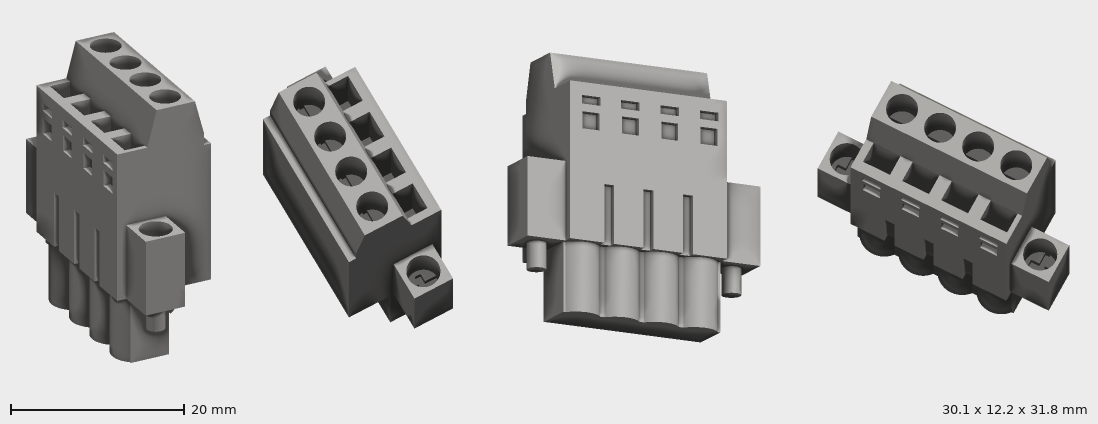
import cadquery as cq


poles = 4
pitch = 5.1
body_width = 20.32

top_z = 31.8
front_shoulder_z = 27.25
back_slope_z = 27.55
back_shoulder_z = 25.92
base_z = 8.4

body_depth = 12.2
back_step_y = 11.25
crest_front_y = 5.12
crest_back_y = 10.1
front_slope_y = 3.9

plug_front_y = 1.75
plug_back_y = 6.75
socket_width = 4.5
socket_bulge = 1.08

latch_width = 3 * pitch
latch_front_y = 8.3
latch_back_y = 10.15
latch_heel = (9.45, 4.85)
latch_tip = (8.27, 3.75)
latch_nose = (7.95, 4.55)
latch_throat_z = 5.35

total_width = 30.1
flange_width = (total_width - body_width) / 2
flange_x = (total_width - flange_width) / 2
flange_front_y = 1.18
flange_depth = 5.12
flange_back_y = flange_front_y + flange_depth
flange_y = flange_front_y + flange_depth / 2
flange_top_z = 17.9
counterbore_diameter = 3.95
counterbore_depth = 6.35
flange_head_diameter = 3.88
flange_head_height = 1.9
shank_diameter = 2.3
shank_tip_z = 5.2
cross_long_width = 0.67
cross_short_width = 0.8
cross_short_length = 2.8
cross_depth = 0.8

clamp_diameter = 3.7
clamp_pitch = 4.95
clamp_y = (crest_front_y + crest_back_y) / 2
clamp_hole_depth = 9.55
clamp_screw_height = 3.82
clamp_slot_width = 0.65
clamp_slot_depth = 0.8

entry_shift = 0.2
entry_width = 3.5
entry_front_y = 1.27
entry_depth = 7.95
window_depth = 0.9
upper_window_width = 2.4
upper_window_bottom_z = 24.68
upper_window_height = 1.02
lower_window_width = 2.2
lower_window_bottom_z = 21.72
lower_window_height = 2.05

slit_width = 1.27
slit_depth = 0.85
slit_top_z = 15.4


def row(count, spacing):
    """Centres of a row of equally spaced features about X = 0."""
    return [(i - (count - 1) / 2) * spacing for i in range(count)]


def box(x, width, y_front, y_back, z_bottom, z_top):
    """Block centred on x in X and given by its limits in Y and Z."""
    size = (width, y_back - y_front, z_top - z_bottom)
    return cq.Workplane("XY").box(*size, centered=(True, False, False)).translate((x, y_front, z_bottom))


def cylinder(x, y, diameter, z_bottom, z_top):
    """Upright cylinder between two levels."""
    disc = cq.Workplane("XY", origin=(x, y, z_bottom)).circle(diameter / 2)
    return disc.extrude(z_top - z_bottom)


def side_profile(width):
    """Workplane in Y and Z whose extrusion by the given width is centred on X = 0."""
    return cq.Workplane("YZ", origin=(-width / 2, 0, 0))


def make_body():
    """Main block with its sloped crest."""
    outline = [
        (0, base_z),
        (0, front_shoulder_z),
        (front_slope_y, front_shoulder_z),
        (crest_front_y, top_z),
        (crest_back_y, top_z),
        (back_step_y, back_slope_z),
        (back_step_y, back_shoulder_z),
        (body_depth, back_shoulder_z),
        (body_depth, base_z),
    ]
    return side_profile(body_width).polyline(outline).close().extrude(body_width)


def make_plug():
    """Plug block with one rounded socket bulge in front of each pole."""
    plug = box(0, body_width, plug_front_y, plug_back_y, 0, base_z)
    for x in row(poles, pitch):
        bulge = (
            cq.Workplane("XY")
            .moveTo(x - socket_width / 2, plug_front_y)
            .threePointArc((x, plug_front_y - socket_bulge), (x + socket_width / 2, plug_front_y))
            .close()
            .extrude(base_z)
        )
        plug = plug.union(bulge)
    return plug


def make_latch():
    """Hooked latch hanging below the body, behind the plug and set in from both ends."""
    return (
        side_profile(latch_width)
        .moveTo(latch_back_y, base_z)
        .lineTo(*latch_heel)
        .lineTo(*latch_tip)
        .threePointArc(latch_nose, (latch_front_y, latch_throat_z))
        .lineTo(latch_front_y, base_z)
        .close()
        .extrude(latch_width)
    )


def make_housing():
    """Body, plug, latch and flanges as one solid, with all openings cut."""
    housing = make_body().union(make_plug()).union(make_latch())

    for x in (-flange_x, flange_x):
        housing = housing.union(box(x, flange_width, flange_front_y, flange_back_y, base_z, flange_top_z))
        seat_z = flange_top_z - counterbore_depth
        housing = housing.cut(cylinder(x, flange_y, counterbore_diameter, seat_z, flange_top_z))
        housing = housing.cut(cylinder(x, flange_y, shank_diameter, base_z, seat_z))

    for x in row(poles, clamp_pitch):
        housing = housing.cut(cylinder(x, clamp_y, clamp_diameter, top_z - clamp_hole_depth, top_z))

    for pole_x in row(poles, pitch):
        x = pole_x + entry_shift
        entry_bottom_z = front_shoulder_z - entry_depth
        housing = housing.cut(
            box(x, entry_width, entry_front_y, front_slope_y, entry_bottom_z, front_shoulder_z)
        )
        for width, bottom_z, height in (
            (upper_window_width, upper_window_bottom_z, upper_window_height),
            (lower_window_width, lower_window_bottom_z, lower_window_height),
        ):
            housing = housing.cut(box(x, width, 0, window_depth, bottom_z, bottom_z + height))

    for x in row(poles - 1, pitch):
        housing = housing.cut(box(x, slit_width, 0, slit_depth, base_z, slit_top_z))
    return housing


def make_clamp_screw(x):
    """Slotted clamping screw at the bottom of its hole."""
    bottom_z = top_z - clamp_hole_depth
    head_z = bottom_z + clamp_screw_height
    screw = cylinder(x, clamp_y, clamp_diameter, bottom_z, head_z)
    half_slot = clamp_slot_width / 2
    slot = box(x, clamp_diameter, clamp_y - half_slot, clamp_y + half_slot, head_z - clamp_slot_depth, head_z)
    return screw.cut(slot)


def make_flange_screw(x):
    """Flange screw whose head has a full-width slot crossed by a shorter one."""
    seat_z = flange_top_z - counterbore_depth
    head_z = seat_z + flange_head_height
    cross_z = head_z - cross_depth
    head_radius = flange_head_diameter / 2
    half_short = cross_short_width / 2
    screw = cylinder(x, flange_y, flange_head_diameter, seat_z, head_z)
    screw = screw.union(cylinder(x, flange_y, shank_diameter, shank_tip_z, seat_z))
    long_slot = box(x, cross_long_width, flange_y - head_radius, flange_y + head_radius, cross_z, head_z)
    short_slot = box(
        x, cross_short_length, flange_y - half_short, flange_y + half_short, cross_z, head_z
    ).intersect(cylinder(x, flange_y, cross_short_length, cross_z, head_z))
    return screw.cut(long_slot).cut(short_slot)


housing = make_housing()
clamp_screws = [make_clamp_screw(x) for x in row(poles, clamp_pitch)]
flange_screws = [make_flange_screw(x) for x in (-flange_x, flange_x)]

result = cq.Compound.makeCompound(
    [housing.val()]
    + [screw.val() for screw in clamp_screws]
    + [screw.val() for screw in flange_screws]
)